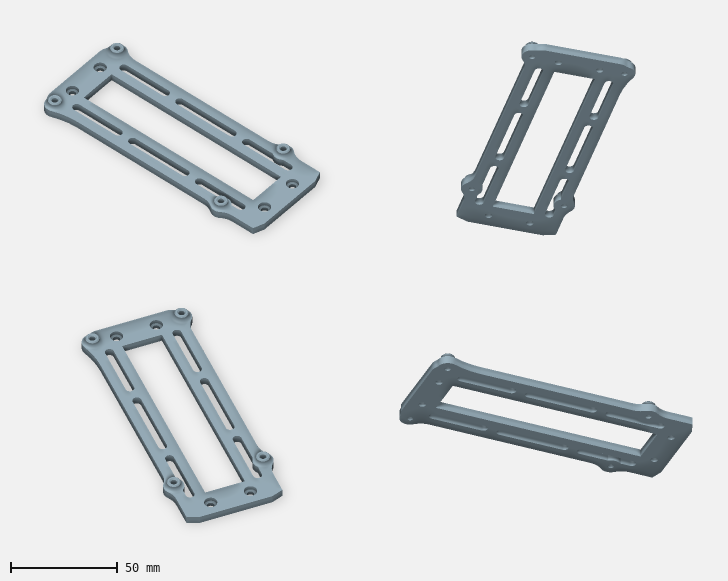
import cadquery as cq
import math

LENGTH = 132.0
WIDTH = 48.3
THICKNESS = 4.0
END_CUT_X = 2.1
END_CUT_Y = 5.8
LEFT_FLAT = 35.9

BOSS_HEIGHT = 3.0
FOOT_RADIUS = 5.0
POST_RADIUS = 3.3
RIM_CHAMFER = 0.5
BORE_RADIUS = 1.5
MOUTH_RADIUS = 2.1
MOUTH_DEPTH = 0.7
BOSS_PITCH_X = 102.0
BOSS_PITCH_Y = 45.0
BOSS_LEFT_X = -59.7
BOSS_SHIFT_Y = 0.5

SIDE_BLEND = 10.0
LONG_SIDE_BLEND = 40.0
END_ROUND = 6.5
END_BLEND = 4.6

WINDOW_LENGTH = 104.0
WINDOW_WIDTH = 20.0
SLOT_WIDTH = 4.2
SLOT_ROW_Y = 17.0
END_SLOT_LENGTH = 29.7
MIDDLE_SLOT_LENGTH = 36.4
SLOT_GAP = 4.6

SCREW_PITCH_X = 118.0
SCREW_PITCH_Y = 20.0
SCREW_DIAMETER = 3.4
HEAD_DIAMETER = 6.2
HEAD_DEPTH = 2.0

half_length = LENGTH / 2
half_width = WIDTH / 2
boss_right_x = BOSS_LEFT_X + BOSS_PITCH_X
boss_top_z = THICKNESS + BOSS_HEIGHT


def boss_y(side):
    return BOSS_SHIFT_Y + side * BOSS_PITCH_Y / 2


def prism(points):
    return cq.Workplane("XY").polyline(points).close().extrude(THICKNESS)


def disc(centre, radius):
    return cq.Workplane("XY").center(*centre).circle(radius).extrude(THICKNESS)


def web(start, end, arc_centre, arc_radius):
    """Triangle between three centres, hollowed by the concave blend arc."""
    return prism([start, end, arc_centre]).cut(disc(arc_centre, arc_radius))


def side_web(boss_x, side, direction, radius):
    """Blend from a boss foot to the long edge, tangent to both."""
    y = boss_y(side)
    arc_y = side * (half_width + radius)
    arc_x = boss_x + direction * math.sqrt((FOOT_RADIUS + radius) ** 2 - (arc_y - y) ** 2)
    return web((boss_x, y), (arc_x, y), (arc_x, arc_y), radius)


def left_corner(side):
    """Rounded end of the left edge, blended into the boss foot by a tangent concave arc."""
    boss = (BOSS_LEFT_X, boss_y(side))
    corner = (END_ROUND - half_length, side * LEFT_FLAT / 2)
    foot_reach = FOOT_RADIUS + END_BLEND
    corner_reach = END_ROUND + END_BLEND
    dx = corner[0] - boss[0]
    dy = corner[1] - boss[1]
    gap = math.hypot(dx, dy)
    along = (foot_reach**2 - corner_reach**2 + gap**2) / (2 * gap)
    across = math.sqrt(foot_reach**2 - along**2)
    arc_centre = (
        boss[0] + (along * dx - across * abs(dy)) / gap,
        boss[1] + (along * dy - side * across * dx) / gap,
    )
    return disc(corner, END_ROUND).union(web(boss, corner, arc_centre, END_BLEND))


def make_plate():
    """Plate with slanted right corners and a left end that flows into the boss feet."""
    plate = prism([
        (BOSS_LEFT_X, -half_width),
        (half_length - END_CUT_X, -half_width),
        (half_length, END_CUT_Y - half_width),
        (half_length, half_width - END_CUT_Y),
        (half_length - END_CUT_X, half_width),
        (BOSS_LEFT_X, half_width),
        (BOSS_LEFT_X, LEFT_FLAT / 2),
        (-half_length, LEFT_FLAT / 2),
        (-half_length, -LEFT_FLAT / 2),
        (BOSS_LEFT_X, -LEFT_FLAT / 2),
    ])
    for side in (-1, 1):
        plate = plate.union(left_corner(side))
        left_blend = SIDE_BLEND if side > 0 else LONG_SIDE_BLEND
        plate = plate.union(side_web(BOSS_LEFT_X, side, 1, left_blend))
        for direction in (-1, 1):
            plate = plate.union(side_web(boss_right_x, side, direction, SIDE_BLEND))
    return plate


def cut_openings(plate):
    """Central window and a row of three slots along each side of it."""
    plate = plate.cut(cq.Workplane("XY").rect(WINDOW_LENGTH, WINDOW_WIDTH).extrude(THICKNESS))
    end_slot_x = (MIDDLE_SLOT_LENGTH + END_SLOT_LENGTH) / 2 + SLOT_GAP
    slots = [(-end_slot_x, END_SLOT_LENGTH), (0, MIDDLE_SLOT_LENGTH), (end_slot_x, END_SLOT_LENGTH)]
    for x, slot_length in slots:
        cutter = (
            cq.Workplane("XY")
            .pushPoints([(x, -SLOT_ROW_Y), (x, SLOT_ROW_Y)])
            .slot2D(slot_length, SLOT_WIDTH)
            .extrude(THICKNESS)
        )
        plate = plate.cut(cutter)
    return plate


def cut_screw_holes(plate):
    return (
        plate.faces(">Z")
        .workplane(origin=(0, 0, THICKNESS))
        .rarray(SCREW_PITCH_X, SCREW_PITCH_Y, 2, 2)
        .cboreHole(SCREW_DIAMETER, HEAD_DIAMETER, HEAD_DEPTH)
    )


def make_boss():
    """Post with a flared foot and a chamfered rim, reaching down through the plate."""
    flare = FOOT_RADIUS - POST_RADIUS
    flare_mid = flare * (1 - math.sqrt(0.5))
    return (
        cq.Workplane("XZ")
        .lineTo(FOOT_RADIUS, 0)
        .lineTo(FOOT_RADIUS, THICKNESS)
        .threePointArc(
            (POST_RADIUS + flare_mid, THICKNESS + flare_mid),
            (POST_RADIUS, THICKNESS + flare),
        )
        .lineTo(POST_RADIUS, boss_top_z - RIM_CHAMFER)
        .lineTo(POST_RADIUS - RIM_CHAMFER, boss_top_z)
        .lineTo(0, boss_top_z)
        .close()
        .revolve(360, (0, 0), (0, 1))
    )


def make_bore():
    """Through hole with a conical mouth at the top of a boss."""
    return (
        cq.Workplane("XZ")
        .lineTo(BORE_RADIUS, 0)
        .lineTo(BORE_RADIUS, boss_top_z - MOUTH_DEPTH)
        .lineTo(MOUTH_RADIUS, boss_top_z)
        .lineTo(0, boss_top_z)
        .close()
        .revolve(360, (0, 0), (0, 1))
    )


result = cut_screw_holes(cut_openings(make_plate()))
for boss_x in (BOSS_LEFT_X, boss_right_x):
    for side in (-1, 1):
        spot = (boss_x, boss_y(side), 0)
        result = result.union(make_boss().translate(spot))
        result = result.cut(make_bore().translate(spot))